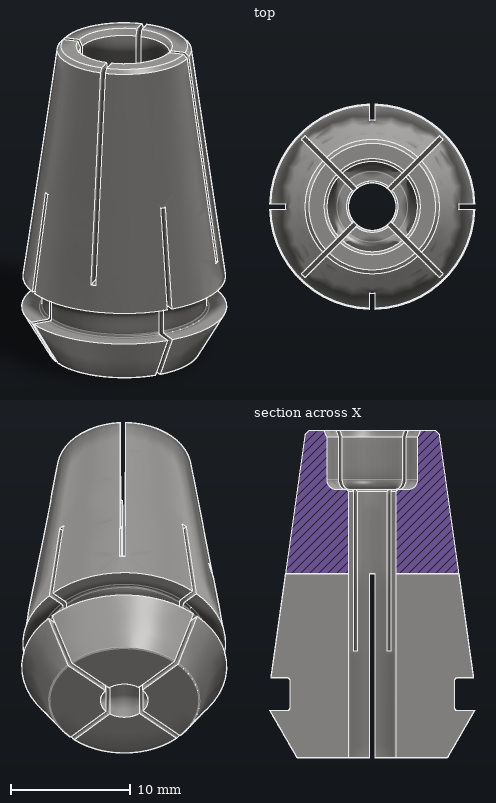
import cadquery as cq
import math

height = 27.5
head_radius = 17.25 / 2
head_height = 4.0
head_angle = 30.0
bottom_round = 0.1

groove_radius = 6.93
groove_round = 0.2
taper_start = 6.7

taper_radius = 8.52
taper_angle = 8.0
rim_chamfer_height = 0.33
rim_chamfer_width = 0.33

hole_radius = 4.0 / 2
hole_chamfer = 0.16
bore_radius = 3.8
bore_mouth_radius = 4.05
bore_mouth_height = 0.55
bore_floor = 22.55
bore_floor_round = 0.82

slot_width = 0.45
lower_slot_top = 15.45
upper_slot_bottom = 8.96
slot_length = 3 * head_radius


def make_body():
    """Solid of revolution for the head, groove and taper."""
    head_bottom_radius = head_radius - head_height * math.tan(math.radians(head_angle))
    rim_start = height - rim_chamfer_height
    rim_radius = taper_radius - (rim_start - taper_start) * math.tan(math.radians(taper_angle))
    body = (
        cq.Workplane("XZ")
        .polyline([
            (0, 0),
            (head_bottom_radius, 0),
            (head_radius, head_height),
            (groove_radius, head_height),
            (groove_radius, taper_start),
            (taper_radius, taper_start),
            (rim_radius, rim_start),
            (rim_radius - rim_chamfer_width, height),
            (0, height),
        ])
        .close()
        .revolve(360, (0, 0, 0), (0, 1, 0))
    )
    body = body.faces("<Z").edges().fillet(bottom_round)
    neck = body.edges("%CIRCLE").filter(
        lambda edge: abs(edge.radius() - groove_radius) < 0.003
    )
    return neck.fillet(groove_round)


def make_bore():
    """Through hole that opens into a wider bore with a rounded floor."""
    bend = bore_floor_round * math.sqrt(0.5)
    round_center = (bore_radius - bore_floor_round, bore_floor + bore_floor_round)
    return (
        cq.Workplane("XZ")
        .moveTo(0, 0)
        .lineTo(hole_radius, 0)
        .lineTo(hole_radius, bore_floor - hole_chamfer)
        .lineTo(hole_radius + hole_chamfer, bore_floor)
        .lineTo(round_center[0], bore_floor)
        .threePointArc(
            (round_center[0] + bend, round_center[1] - bend),
            (bore_radius, round_center[1]),
        )
        .lineTo(bore_radius, height - bore_mouth_height)
        .lineTo(bore_mouth_radius, height)
        .lineTo(0, height)
        .close()
        .revolve(360, (0, 0, 0), (0, 1, 0))
    )


def make_crossed_slots(bottom, top, first_angle):
    """Two full-width slots at right angles, between two heights."""
    slot = (
        cq.Workplane("XY", origin=(0, 0, bottom))
        .rect(slot_length, slot_width)
        .extrude(top - bottom)
    )
    axis_start, axis_end = (0, 0, 0), (0, 0, 1)
    first = slot.rotate(axis_start, axis_end, first_angle)
    return first.union(slot.rotate(axis_start, axis_end, first_angle + 90))


lower_slots = make_crossed_slots(0, lower_slot_top, 0)
upper_slots = make_crossed_slots(upper_slot_bottom, height, 45)

result = make_body().cut(make_bore()).cut(lower_slots).cut(upper_slots)